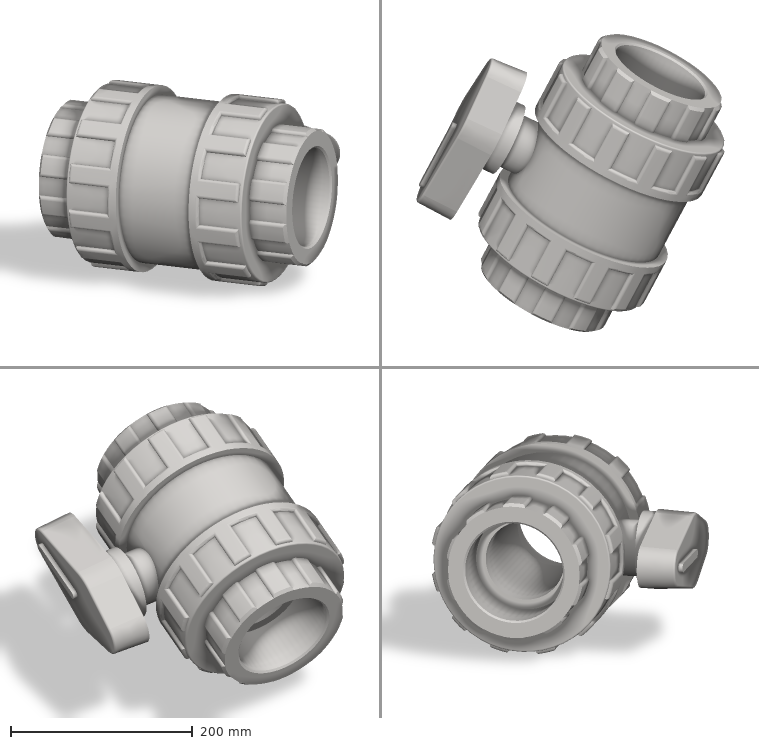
import cadquery as cq
import math


valve_length = 295.0
bore_dia = 88.2
body_dia = 186.5
body_half_length = 43.5
socket_dia = 110.0
socket_depth = 61.0
socket_chamfer = 2.0

end_dia = 147.5
end_rib_count = 10
end_rib_width = 24.8
end_rib_height = 3.5
end_rib_fillet = 3.8
end_rib_chamfer = 3.2

nut_dia = 198.8
nut_outer_end = 104.5
nut_edge_fillet = 1.8
flange_dia = 207.0
flange_width = 11.2
nut_rib_count = 12
nut_rib_width = 21.5
nut_rib_end = 101.0
nut_rib_fillet = 3.2

rib_depth = 8.8

stem_dia = 62.2
collar_dia = 83.0
collar_bottom = 114.2

handle_bottom = 130.7
handle_top = 173.2
handle_hub_dia = 88.2
handle_tip_radius = 24.0
handle_short_tip = -78.8
handle_long_tip = 111.8
handle_draft_angle = 3.0
handle_edge_fillet = 2.5

bar_start = 9.0
bar_end = 92.5
bar_width = 9.7
bar_top = 178.2


def cylinder_x(diameter, start, end):
    return cq.Workplane("YZ").workplane(offset=start).circle(diameter / 2).extrude(end - start)


def cylinder_y(diameter, start, end):
    return cq.Workplane("XZ").workplane(offset=-end).circle(diameter / 2).extrude(end - start)


def rib_blank(width, outer_dia, start, end):
    """A square-edged rib along X at +Z, with its top on the outer diameter."""
    block = cq.Workplane("XY").box(end - start, width, rib_depth, centered=(False, True, False))
    block = block.translate((start, 0, outer_dia / 2 - rib_depth))
    return block.intersect(cylinder_x(outer_dia, start, end))


def ring_pattern(solid, count, first_angle):
    """Union of copies spaced evenly about X, with angles measured from +Z."""
    pattern = cq.Workplane()
    for index in range(count):
        angle = first_angle + index * 360 / count
        pattern = pattern.add(solid.rotate((0, 0, 0), (1, 0, 0), angle))
    return pattern.combine()


def socket_end():
    start = body_half_length
    end = valve_length / 2
    outer_dia = end_dia + 2 * end_rib_height
    rib = rib_blank(end_rib_width, outer_dia, start, end)
    rib = rib.faces(">Z").edges("|X").fillet(end_rib_fillet)
    envelope = cylinder_x(outer_dia, start, end).faces(">X").edges().chamfer(end_rib_chamfer)
    rib = rib.intersect(envelope)
    return cylinder_x(end_dia, start, end).union(ring_pattern(rib, end_rib_count, 0))


def union_nut():
    """Built from equal sectors, each with one rib, half a pocket either side and a flange piece."""
    start = body_half_length
    flange_end = start + flange_width
    pitch = 360 / nut_rib_count

    barrel = cylinder_x(nut_dia, start, nut_outer_end).faces(">X").edges().fillet(nut_edge_fillet)
    flange = cylinder_x(flange_dia, start, flange_end)
    half_width = flange_dia * math.tan(math.radians(pitch / 2))
    wedge = (
        cq.Workplane("YZ")
        .polyline([(0, 0), (half_width, flange_dia), (-half_width, flange_dia)])
        .close()
        .extrude(nut_outer_end)
    )
    sector = barrel.union(flange).intersect(wedge)
    sector = sector.union(rib_blank(nut_rib_width, flange_dia, start, nut_rib_end))

    def is_top_edge(edge):
        tolerance = 0.003
        points = [edge.positionAt(t) for t in (0, 0.5, 1)]
        on_top = all(abs(math.hypot(p.y, p.z) - flange_dia / 2) < tolerance for p in points)
        return on_top and all(p.x > start + tolerance for p in points)

    sector = sector.edges().filter(is_top_edge).fillet(nut_rib_fillet)
    return ring_pattern(sector, nut_rib_count, pitch / 2)


def handle():
    """Hub circle joined by tangent flanks to a short and a long rounded arm."""
    hub_radius = handle_hub_dia / 2

    def tangent_points(tip):
        direction = math.copysign(1, tip)
        centre = abs(tip) - handle_tip_radius
        sine = (hub_radius - handle_tip_radius) / centre
        cosine = math.sqrt(1 - sine ** 2)
        on_hub = (direction * hub_radius * sine, hub_radius * cosine)
        on_tip = (direction * (centre + handle_tip_radius * sine), handle_tip_radius * cosine)
        return on_hub, on_tip

    def below(point):
        return (point[0], -point[1])

    short_hub, short_tip = tangent_points(handle_short_tip)
    long_hub, long_tip = tangent_points(handle_long_tip)
    outline = (
        cq.Workplane("XZ", origin=(0, handle_bottom, 0))
        .moveTo(*short_tip)
        .lineTo(*short_hub)
        .threePointArc((0, hub_radius), long_hub)
        .lineTo(*long_tip)
        .threePointArc((handle_long_tip, 0), below(long_tip))
        .lineTo(*below(long_hub))
        .threePointArc((0, -hub_radius), below(short_hub))
        .lineTo(*below(short_tip))
        .threePointArc((handle_short_tip, 0), short_tip)
        .close()
    )
    grip = outline.extrude(handle_bottom - handle_top, taper=handle_draft_angle)
    grip = grip.faces(">Y").edges().fillet(handle_edge_fillet)

    bar = (
        cq.Workplane("XZ", origin=((bar_start + bar_end) / 2, bar_top, 0))
        .slot2D(bar_end - bar_start, bar_width)
        .extrude(bar_top - handle_bottom)
    )
    return grip.union(bar)


def flow_passage():
    half_length = valve_length / 2
    socket = cylinder_x(socket_dia, half_length - socket_depth, half_length)
    mouth = (
        cq.Workplane("YZ", origin=(half_length, 0, 0))
        .circle(socket_dia / 2 + socket_chamfer)
        .extrude(-socket_chamfer, taper=45)
    )
    socket = socket.union(mouth)
    return cylinder_x(bore_dia, -half_length, half_length).union(socket).union(socket.mirror("YZ"))


side = socket_end().union(union_nut())
body = cylinder_x(body_dia, -body_half_length, body_half_length)
stem = cylinder_y(stem_dia, 0, handle_bottom)
collar = cylinder_y(collar_dia, collar_bottom, handle_bottom)

result = body.union(side).union(side.mirror("YZ")).union(stem).union(collar).union(handle())
result = result.cut(flow_passage())